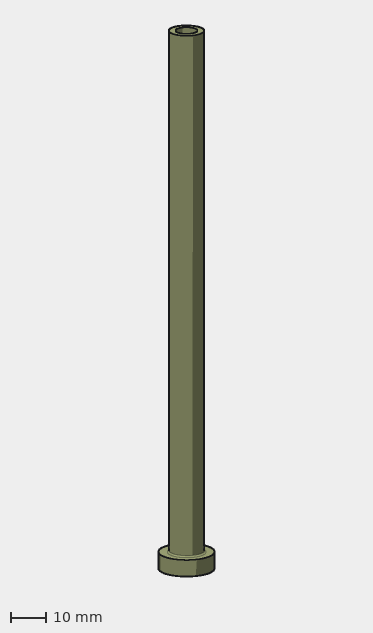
import cadquery as cq

total_length = 160.0
head_diameter = 16.0
head_thickness = 5.0
tube_diameter = 10.0
bore_diameter = 6.2
root_fillet = 0.5

head = cq.Workplane("XY").circle(head_diameter / 2).extrude(head_thickness)
tube = cq.Workplane("XY").circle(tube_diameter / 2).extrude(total_length)
body = head.union(tube)

root_edge = cq.selectors.RadiusNthSelector(0)
body = body.faces("<Z[1]").edges(root_edge).fillet(root_fillet)

bore = cq.Workplane("XY").circle(bore_diameter / 2).extrude(total_length)
result = body.cut(bore)